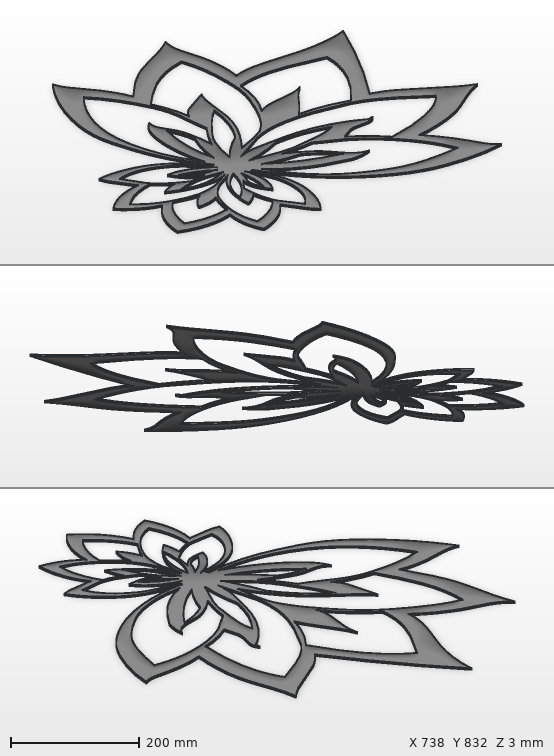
import cadquery as cq


THICKNESS = 3.0
LOWER_AXIS_X = 2.5
TOP_Y = 416
BOTTOM_Y = -416
WAIST_Y = -148.0
HEART_Y = -133
CUT_MARGIN = 8


def sheet(start, edges, bottom=0.0, height=THICKNESS):
    """Extrude a closed outline; an edge has its end point last, after any points it passes through."""
    outline = cq.Workplane("XY", origin=(0, 0, bottom)).moveTo(*start)
    for edge in edges:
        if len(edge) == 1:
            outline = outline.lineTo(*edge[0])
        elif len(edge) == 2:
            outline = outline.threePointArc(*edge)
        else:
            outline = outline.spline(edge, includeCurrent=True)
    return outline.close().extrude(height)


def window(start, edges):
    """Cutter that passes right through the sheet."""
    return sheet(start, edges, -CUT_MARGIN, THICKNESS + 2 * CUT_MARGIN)


def both_sides(half):
    """Move a right-hand shape onto the lower bloom's axis and add its mirror image."""
    return half.union(half.mirror("YZ")).translate((LOWER_AXIS_X, 0, 0))


upper_blank = sheet((-8, TOP_Y), [
    [(55.0, 309.0), (111.0, 195.5)],
    [(150, 225.5), (208, 255.0), (257.0, 285.5)],
    [(255.5, 250), (260.0, 175), (251.0, 116.5), (236.0, 66.0)],
    [(266, 70.0), (316, 70.0), (352.0, 68.0), (369.0, 73.0)],
    [(354.5, 37.5), (333, -2.5), (291, -57.5), (233, -101.5), (150, -136.5), (33, WAIST_Y)],
    [(-33, WAIST_Y)],
    [(-133, -141.0), (-183, -126.0), (-241, -99.0), (-291, -55.0), (-333, 0), (-369.0, 71.0)],
    [(-354.0, 67.0), (-316, 70.0), (-254.0, 70.0), (-235.0, 66.0)],
    [(-248.0, 112.0), (-256.0, 166.5), (-255.0, 225), (-256.0, 286.0)],
    [(-233, 266), (-187.0, 248.0), (-152.0, 230.0), (-109.0, 195.5)],
    [(-103.0, 218.0), (-54.0, 305.0), (-17, 383), (-8, TOP_Y)],
])

top_window = window((1.0, 311.0), [
    [(25, 290.0), (50, 257.0), (75, 208), (91.5, 161.0)],
    [(60.0, 126.5), (32.0, 83)],
    [(22.0, 116.5), (7.5, 153.0), (-1.0, 186.0)],
    [(-4.0, 160.0), (-18.0, 121.5), (-27.0, 77.0)],
    [(-53.0, 121.5), (-90.0, 160.0)],
    [(-77.0, 203.0), (-42, 261.0), (1.0, 311.0)],
])

right_shoulder_window = window((1.0, -102.0), [
    [(1.0, -25)],
    [(17, 40.0), (46.0, 91.5), (94.0, 152.0)],
    [(129.0, 181.0), (166.5, 201.0), (210.5, 221.0)],
    [(219.0, 187.0), (218.0, 129.0), (210.0, 83), (199.0, 46.0)],
    [(166.5, 38.0), (128.0, 22.5)],
    [(128.0, 47.0)],
    [(135.0, 71.0), (146.5, 99.0), (144.0, 111.0)],
    [(141.5, 100)],
    [(108, 76.5), (73.0, 42), (46.0, 2.0), (25, -37.5), (7.0, -76.5), (1.0, -102.0)],
])

left_shoulder_window = window((-9.0, -71.0), [
    [(-24.0, -33), (-42, 0), (-62.5, 29.0), (-96.0, 63.0), (-119.0, 85.0), (-136.5, 108)],
    [(-136.5, 47.0)],
    [(-133, 32.5), (-126.5, 20.0)],
    [(-161.0, 36.0), (-199.0, 46.0)],
    [(-210.0, 87.0), (-217.0, 133), (-216, 183), (-208, 221.0)],
    [(-166.5, 204.0), (-125, 177.0), (-75, 134.0), (-42, 87.0), (-17, 42), (-4.0, 0)],
    [(-4.0, -25)],
    [(-7.0, -50), (-9.0, -71.0)],
])

right_side_window = window((47.5, -141.0), [
    [(83, -126.5), (116.5, -106.0), (143.0, -82.0), (168.0, -56.0)],
    [(177.0, -37.0), (182.0, -17)],
    [(168.0, -31.0), (146.0, -38.0), (116.5, -42.5), (87.0, -54.0), (58, -73.0)],
    [(75, -43.0), (87.0, -16.0)],
    [(108, -2.5), (133, 14.0), (166.5, 29.0), (208, 40.0), (254.0, 44.0), (310.0, 37.5)],
    [(291, -1.0), (270.5, -37.0), (245.5, -66.5), (208, -96.5), (166.5, -121.0), (116.5, -136.5), (47.5, -141.0)],
])

left_side_window = window((-46.0, -142.0), [
    [(-75, -129.0), (-112.0, -106.5), (-146.0, -79.0), (-169.0, -50), (-177.0, -25)],
    [(-166.5, -34.0), (-129.0, -39.0), (-96.0, -51.0), (-58, -72.0)],
    [(-75, -41.0), (-86.5, -14.0)],
    [(-112.0, 0), (-141.5, 18.0), (-175, 33), (-212.0, 41.0), (-254.0, 44.0), (-307.0, 39.0)],
    [(-291, 2.0), (-266, -40.0), (-225, -84.0), (-183, -111.0), (-112.0, -136.0), (-46.0, -142.0)],
])

right_tall_slit = window((18.0, -115.0), [
    [(27.5, -80.0), (34.0, -33)],
    [(57.5, 8), (96.5, 53.0)],
    [(94.0, 29.0), (83, -3.0), (66.5, -45.0), (43.0, -81.5), (18.0, -115.0)],
])

left_tall_slit = window((-16.0, -111.5), [
    [(-27.0, -73.0), (-32.5, -33)],
    [(-58, 12.0), (-97.0, 55.0)],
    [(-91.5, 27.5), (-78.0, -12.5), (-64.0, -48.0), (-42, -83), (-16.0, -111.5)],
])

right_low_slit = window((41.0, -122.0), [
    [(66.5, -93.0), (86.0, -65.0)],
    [(112.0, -52.0), (148.0, -42.5)],
    [(116.5, -72.0), (83, -98.0), (41.0, -122.0)],
])

left_low_slit = window((-38.0, -122.0), [
    [(-68.0, -91.0), (-90.0, -61.0)],
    [(-114.0, -50), (-141.5, -45.0)],
    [(-108, -78.0), (-75, -103.0), (-38.0, -122.0)],
])

lower_blank = both_sides(sheet((0, HEART_Y), [
    [(32.0, HEART_Y)],
    [(32.0, -156.0)],
    [(71.0, -157.0), (100, -167.0), (125, -182.0), (154.0, -210.5), (171.5, -235.5), (182.0, -260.0)],
    [(166.5, -263.0)],
    [(116.5, -263.0)],
    [(126.0, -291), (129.0, -324.5), (124.0, -363.0)],
    [(85.0, -349.0), (56.0, -325.0)],
    [(37.5, -373.0), (0, BOTTOM_Y)],
]))

lower_side_window = both_sides(window((22.5, -157.0), [
    [(53.0, -161.0), (81.5, -168.0), (111.5, -186.0), (136.5, -211.0), (152.0, -249.0)],
    [(108, -250.5)],
    [(85.0, -245.0), (62.5, -234.0), (44.0, -222.0)],
    [(38.0, -209.0), (32.0, -192.0)],
    [(47.0, -204.0), (66.5, -210.0)],
    [(86.5, -210.0)],
    [(76.5, -193.0), (52.0, -171.0), (22.5, -157.0)],
]))

lower_shoulder_window = both_sides(window((2.5, -180.0), [
    [(2.5, -220.5)],
    [(7.0, -241), (16.0, -265.5)],
    [(45.0, -302.0), (73.0, -324.5), (105.0, -338.0)],
    [(109.0, -294.0), (101.0, -252.0)],
    [(81.0, -246.0), (65.0, -239.0)],
    [(68.0, -256.0), (69.0, -275.5)],
    [(46.0, -257.0), (25, -234.0), (10.0, -208), (2.5, -180.0)],
]))

lower_bottom_window = both_sides(window((0, -313.0), [
    [(9.0, -294.0), (13.0, -270.5)],
    [(27.0, -288.0), (45.0, -308)],
    [(27.5, -349.5), (0, -383)],
]))

lower_tall_slit = both_sides(window((8, -171.5), [
    [(23.0, -191.0), (36.0, -213.0), (48.0, -256.0)],
    [(28.0, -234.0), (17, -210.5), (8, -171.5)],
]))

lower_low_slit = both_sides(window((20.0, -166.5), [
    [(44.0, -181.0), (70.0, -205.0)],
    [(54.0, -202.0), (38.0, -191.5)],
    [(31.0, -180.0), (20.0, -166.5)],
]))

openings = [
    top_window,
    right_shoulder_window,
    left_shoulder_window,
    right_side_window,
    left_side_window,
    right_tall_slit,
    left_tall_slit,
    right_low_slit,
    left_low_slit,
    lower_side_window,
    lower_shoulder_window,
    lower_bottom_window,
    lower_tall_slit,
    lower_low_slit,
]

result = upper_blank.union(lower_blank)
for opening in openings:
    result = result.cut(opening)